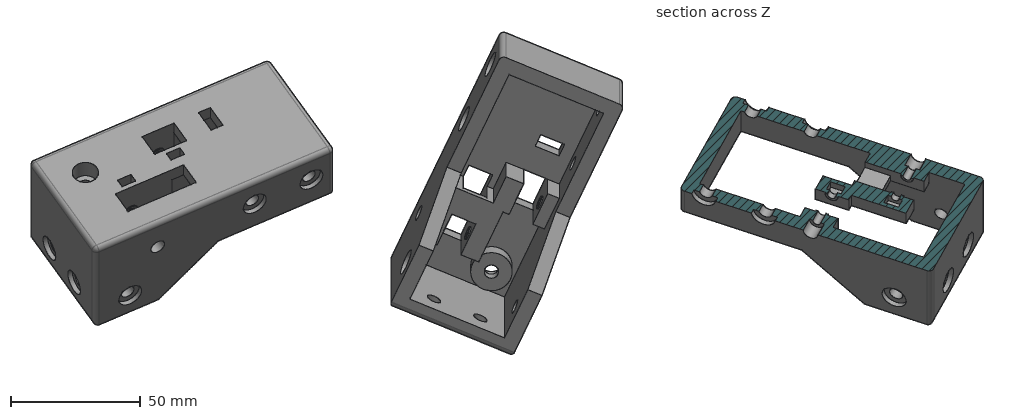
import cadquery as cq

WIDTH = 52.0
LENGTH = 106.0
HEIGHT = 46.0
WALL = 6.0
EDGE_RADIUS = 2.0

STEP_Z = 19.9
SLOPE_START_Y = 28.2
SLOPE_END_Y = 54.7

HOLE_DIAMETER = 5.5
HEAD_DIAMETER = 10.1
HEAD_DEPTH = 2.0
LOW_HOLE_Z = 9.9
HIGH_HOLE_Z = 33.0
SIDE_HOLES_YZ = [(15.8, LOW_HOLE_Z), (70.8, HIGH_HOLE_Z), (95.8, HIGH_HOLE_Z)]
FRONT_HOLES_X = [16.2, 35.8]

TOP_HOLE_X = 16.0
TOP_HOLE_Y = 16.0
TOP_HEAD_DEPTH = 8.0
TOP_BOSS_DIAMETER = 16.0
TOP_BOSS_HEIGHT = 12.0

SLOT_INSET = 10.9
SLOT_WIDTH = 10.1
PIVOT_WINDOW_LENGTH = 14.1
BRIDGE_LENGTH = 10.8
REAR_WINDOW_LENGTH = 5.2
LEFT_SLOT_Y = 43.9
RIGHT_SLOT_Y = 20.9

BLOCK_BOTTOM_Z = HEIGHT - 20.0
BRIDGE_FLOOR_THICKNESS = 3.0
PIVOT_Z = 32.0
PIVOT_DIAMETER = 3.2
PIVOT_HEAD_DIAMETER = 6.0
PIVOT_HEAD_DEPTH = 6.0
SPACER_DIAMETER = 5.3
SPACER_LENGTH = 0.5
CHEEK = 1.9
NUT_THICKNESS = 3.7
NUT_WIDTH = 5.9

SLOT_END = SLOT_INSET + SLOT_WIDTH
NUT_START = SLOT_END + CHEEK
NUT_END = NUT_START + NUT_THICKNESS
BLOCK_END = NUT_END + CHEEK

INNER_TOP_Z = HEIGHT - WALL


def box(x, y, z):
    """Box spanning the given (start, end) pairs along X, Y and Z."""
    size = (x[1] - x[0], y[1] - y[0], z[1] - z[0])
    return cq.Workplane("XY").box(*size, centered=False).translate((x[0], y[0], z[0]))


def rod(start, direction, diameter, length):
    """Cylinder growing from a start point along a direction."""
    return cq.Workplane(
        cq.Solid.makeCylinder(diameter / 2, length, cq.Vector(*start), cq.Vector(*direction))
    )


def mirrored(shape):
    """Mirror a shape across the middle of the housing width."""
    return shape.mirror("YZ", (WIDTH / 2, 0, 0))


def shell():
    """Rounded outer body, hollowed from below."""
    outline = [
        (0, 0),
        (SLOPE_START_Y, 0),
        (SLOPE_END_Y, STEP_Z),
        (LENGTH, STEP_Z),
        (LENGTH, HEIGHT),
        (0, HEIGHT),
    ]
    body = cq.Workplane("YZ").polyline(outline).close().extrude(WIDTH)
    body = body.edges("(>Z) or (<Y) or (>Y and |Z)").fillet(EDGE_RADIUS)
    cavity = box((WALL, WIDTH - WALL), (WALL, LENGTH - WALL), (0, INNER_TOP_Z))
    return body.cut(cavity)


def pivot_block(slot_y, block_length):
    """Solid block hanging from the top wall and joined to the left side wall."""
    return box(
        (WALL / 2, BLOCK_END),
        (slot_y, slot_y + block_length),
        (BLOCK_BOTTOM_Z, HEIGHT - WALL / 2),
    )


def pivot_window(slot_y):
    """Opening for the lever, less the two spacer bosses on its side walls."""
    pivot_y = slot_y + PIVOT_WINDOW_LENGTH / 2
    window = box((SLOT_INSET, SLOT_END), (slot_y, slot_y + PIVOT_WINDOW_LENGTH), (0, HEIGHT))
    window = window.cut(rod((SLOT_INSET, pivot_y, PIVOT_Z), (1, 0, 0), SPACER_DIAMETER, SPACER_LENGTH))
    return window.cut(rod((SLOT_END, pivot_y, PIVOT_Z), (-1, 0, 0), SPACER_DIAMETER, SPACER_LENGTH))


def pivot_screw(slot_y):
    """Counterbored screw hole from the left side face into a nut trap open at the top."""
    pivot_y = slot_y + PIVOT_WINDOW_LENGTH / 2
    head = rod((0, pivot_y, PIVOT_Z), (1, 0, 0), PIVOT_HEAD_DIAMETER, PIVOT_HEAD_DEPTH)
    shank = rod((0, pivot_y, PIVOT_Z), (1, 0, 0), PIVOT_DIAMETER, NUT_END)
    nut_trap = box(
        (NUT_START, NUT_END),
        (pivot_y - NUT_WIDTH / 2, pivot_y + NUT_WIDTH / 2),
        (PIVOT_Z - NUT_WIDTH / 2, HEIGHT),
    )
    return head.union(shank).union(nut_trap)


def rear_window(slot_y):
    """Small opening at the far end of the lever line."""
    start_y = slot_y + PIVOT_WINDOW_LENGTH + BRIDGE_LENGTH
    return box((SLOT_INSET, SLOT_END), (start_y, start_y + REAR_WINDOW_LENGTH), (0, HEIGHT))


def sunken_bridge(slot_y):
    """Cut that lowers the bridge to a thin floor at the bottom of the pivot block."""
    start_y = slot_y + PIVOT_WINDOW_LENGTH
    return box(
        (SLOT_INSET, SLOT_END),
        (start_y, start_y + BRIDGE_LENGTH),
        (BLOCK_BOTTOM_Z + BRIDGE_FLOOR_THICKNESS, HEIGHT),
    )


def mounting_hole(start, direction, head_depth, depth):
    """Counterbored hole entering a face at the start point."""
    head = rod(start, direction, HEAD_DIAMETER, head_depth)
    return head.union(rod(start, direction, HOLE_DIAMETER, depth))


result = shell()

top_boss = rod((TOP_HOLE_X, TOP_HOLE_Y, HEIGHT - TOP_BOSS_HEIGHT), (0, 0, 1),
               TOP_BOSS_DIAMETER, TOP_BOSS_HEIGHT - WALL / 2)
result = result.union(top_boss)
result = result.union(pivot_block(LEFT_SLOT_Y, PIVOT_WINDOW_LENGTH))
result = result.union(mirrored(pivot_block(RIGHT_SLOT_Y, PIVOT_WINDOW_LENGTH + BRIDGE_LENGTH)))

for opening in (pivot_screw, pivot_window, rear_window):
    result = result.cut(opening(LEFT_SLOT_Y))
    result = result.cut(mirrored(opening(RIGHT_SLOT_Y)))
result = result.cut(mirrored(sunken_bridge(RIGHT_SLOT_Y)))

for hole_y, hole_z in SIDE_HOLES_YZ:
    side_hole = mounting_hole((0, hole_y, hole_z), (1, 0, 0), HEAD_DEPTH, WALL)
    result = result.cut(side_hole).cut(mirrored(side_hole))
for hole_x in FRONT_HOLES_X:
    result = result.cut(mounting_hole((hole_x, 0, LOW_HOLE_Z), (0, 1, 0), HEAD_DEPTH, WALL))
result = result.cut(
    mounting_hole((TOP_HOLE_X, TOP_HOLE_Y, HEIGHT), (0, 0, -1), TOP_HEAD_DEPTH, TOP_BOSS_HEIGHT)
)